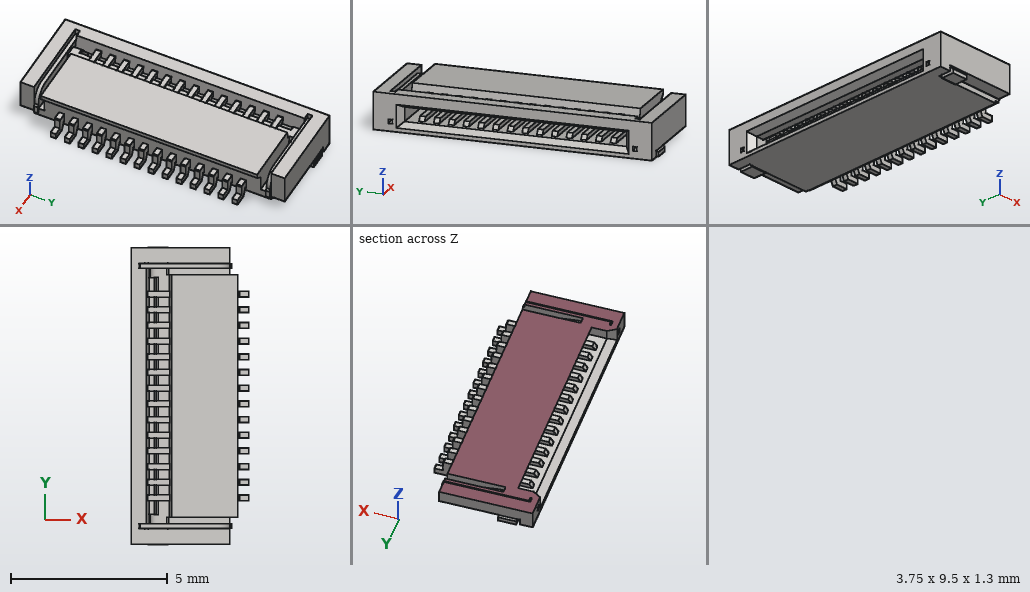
import cadquery as cq
import math


housing_length = 3.15
housing_half_width = 4.73
housing_bottom = 0.03
housing_top = 1.30
rear_notch_length = 0.15
rear_notch_top = 0.12

mouth_half_width = 3.95
mouth_bottom = 0.17
mouth_top = 0.955
flare_depth = 0.28
cavity_half_width = 3.77
cavity_floor = 0.32
cavity_ceiling = 0.806
cavity_roof = 0.606
cavity_end = 2.30

bar_top_depth = 0.48
bar_foot_depth = 0.58
shelf_top = 1.00
shelf_front = 0.80
shelf_end_radius = 0.20
nose_front = 0.73
nose_tip = 0.675
nose_half_width = 3.785
nose_roof_start = 0.90
ledge_back = 0.865
ledge_height = 0.85

slot_front = 0.25
slot_outer = 4.24
slot_inner = 4.08
slot_bottom = 0.24
plate_front = 0.29
plate_rear = 3.21
plate_top = 1.15
plate_thickness = 0.14
plate_bend_start = 2.73
plate_bend_end = 0.56
plate_tail_top = 0.50
window_size = 0.14
window_bottom = 0.29

recess_front = 0.43
recess_top = 0.24
tab_front = 0.55
tab_length = 0.61
tab_edge_height = 0.15
tab_half_span = 4.75
tab_bevel_width = 0.10

flap_half_width = 3.873
flap_front_top = 1.29
flap_front_bottom = 1.22
flap_rear = 3.405
flap_bottom = 0.94
flap_rear_edge = 1.15
flap_heel = 3.16

gap_front = 1.136
gap_ledge = 0.80
gap_step = 1.20
gap_ramp_start = 1.39
gap_ramp_end = 2.08
gap_upper = 0.50
gap_lower = 0.40

contact_count = 14
contact_pitch = 0.50
contact_width = 0.19
upper_arm_front = 0.535
upper_arm_bottom = 0.85
upper_arm_top = 1.06
beam_front = 0.46
beam_ramp_end = 0.57
beam_bottom = 0.24
beam_top = 0.47
leg_top = 0.57
leg_front = 3.20
leg_back = 3.465
leg_corner = 0.03
foot_front = 3.31
foot_end = 3.75
foot_thickness = 0.20


def extrude_across(points, y_low, y_high):
    """Extrude an XZ outline from y_low to y_high."""
    return (
        cq.Workplane("XZ", origin=(0, y_high, 0)).polyline(points).close().extrude(y_high - y_low)
    )


def block(x_range, y_range, z_range):
    """Box between the given limits."""
    size = [high - low for low, high in (x_range, y_range, z_range)]
    corner = (x_range[0], y_range[0], z_range[0])
    return cq.Workplane("XY").box(*size, centered=False).translate(corner)


def both_sides(body):
    """The body together with its mirror image about y = 0."""
    return body.union(body.mirror("XZ"))


def make_shell():
    """Housing outline with the low notch along its rear edge."""
    notch_front = housing_length - rear_notch_length
    outline = [
        (0, housing_bottom),
        (notch_front, housing_bottom),
        (notch_front, rear_notch_top),
        (housing_length, rear_notch_top),
        (housing_length, housing_top),
        (0, housing_top),
    ]
    return extrude_across(outline, -housing_half_width, housing_half_width)


def make_mouth():
    """Flared mouth, tapering from the front face to the cavity section."""
    mouth_centre = (mouth_bottom + mouth_top) / 2
    cavity_centre = (cavity_floor + cavity_ceiling) / 2
    return (
        cq.Workplane("YZ")
        .center(0, mouth_centre)
        .rect(2 * mouth_half_width, mouth_top - mouth_bottom)
        .workplane(offset=flare_depth)
        .center(0, cavity_centre - mouth_centre)
        .rect(2 * cavity_half_width, cavity_ceiling - cavity_floor)
        .loft(ruled=True)
    )


def make_cavity():
    """Cable cavity, joined to the open top between the front bar and the shelf nose."""
    outline = [
        (flare_depth, cavity_floor),
        (cavity_end, cavity_floor),
        (cavity_end, cavity_roof),
        (nose_roof_start, cavity_roof),
        (nose_front, nose_tip),
        (nose_front, housing_top),
        (bar_top_depth, housing_top),
        (bar_foot_depth, cavity_ceiling),
        (flare_depth, cavity_ceiling),
    ]
    return extrude_across(outline, -cavity_half_width, cavity_half_width)


def make_nose_relief():
    """Sloped and stepped front of the shelf, slightly wider than the cavity."""
    outline = [
        (nose_front, nose_tip),
        (shelf_front, ledge_height),
        (ledge_back, ledge_height),
        (ledge_back, housing_top),
        (nose_front, housing_top),
    ]
    return extrude_across(outline, -nose_half_width, nose_half_width)


def make_top_opening():
    """Open top over the shelf, with a rounded shelf edge beyond the cavity ends."""
    round_front = shelf_front - shelf_end_radius
    round_bottom = shelf_top - shelf_end_radius
    arc_offset = shelf_end_radius * math.sqrt(0.5)
    bar_slope = (bar_foot_depth - bar_top_depth) / (housing_top - cavity_ceiling)
    groove_front = bar_top_depth + bar_slope * (housing_top - round_bottom)
    profile = (
        cq.Workplane("XZ", origin=(0, slot_inner, 0))
        .moveTo(bar_top_depth, housing_top)
        .lineTo(groove_front, round_bottom)
        .lineTo(round_front, round_bottom)
        .threePointArc(
            (shelf_front - arc_offset, round_bottom + arc_offset), (shelf_front, shelf_top)
        )
        .lineTo(housing_length, shelf_top)
        .lineTo(housing_length, housing_top)
        .close()
    )
    return profile.extrude(2 * slot_inner)


def make_side_gap():
    """Stepped and ramped trough beside the flap at +Y."""
    outline = [
        (gap_front, housing_top),
        (gap_front, gap_ledge),
        (gap_step, gap_ledge),
        (gap_step, gap_upper),
        (gap_ramp_start, gap_upper),
        (gap_ramp_end, gap_lower),
        (housing_length, gap_lower),
        (housing_length, housing_top),
    ]
    return extrude_across(outline, flap_half_width, slot_inner)


def make_window():
    """Small square window in the front face at +Y, with a concave floor rising to the rear."""
    arc_offset = window_size * math.sqrt(0.5)
    window_top = window_bottom + window_size
    arc_start = slot_front - window_size
    return (
        cq.Workplane("XZ", origin=(0, slot_inner + window_size, 0))
        .moveTo(0, window_bottom)
        .lineTo(arc_start, window_bottom)
        .threePointArc((arc_start + arc_offset, window_top - arc_offset), (slot_front, window_top))
        .lineTo(0, window_top)
        .close()
        .extrude(window_size)
    )


def make_side_cuts():
    """Plate slot, window and tab recess at +Y."""
    slot = block((slot_front, housing_length), (slot_inner, slot_outer), (slot_bottom, housing_top))
    recess = block(
        (recess_front, housing_length), (slot_outer, housing_half_width), (housing_bottom, recess_top)
    )
    return slot.union(recess).union(make_window())


def make_plate():
    """Upright hold-down plate at +Y, with its tail curving down at the rear."""
    quarter = math.sqrt(0.5)
    bend_mid = (
        plate_bend_start + (housing_length - plate_bend_start) * quarter,
        plate_bend_end + (plate_top - plate_bend_end) * quarter,
    )
    return (
        cq.Workplane("XZ", origin=(0, slot_inner + plate_thickness, 0))
        .moveTo(plate_front, slot_bottom)
        .lineTo(plate_rear, slot_bottom)
        .lineTo(plate_rear, plate_tail_top)
        .lineTo(housing_length, plate_bend_end)
        .threePointArc(bend_mid, (plate_bend_start, plate_top))
        .lineTo(plate_front, plate_top)
        .close()
        .extrude(plate_thickness)
    )


def make_tab():
    """Solder tab at +Y, bevelled along its outer top edge."""
    outline = [
        (slot_outer, 0),
        (tab_half_span, 0),
        (tab_half_span, tab_edge_height),
        (tab_half_span - tab_bevel_width, recess_top),
        (slot_outer, recess_top),
    ]
    return (
        cq.Workplane("YZ", origin=(tab_front, 0, 0)).polyline(outline).close().extrude(tab_length)
    )


def make_flap():
    """Actuator flap lying closed on the shelf."""
    outline = [
        (flap_front_bottom, flap_bottom),
        (flap_heel, flap_bottom),
        (flap_rear, flap_rear_edge),
        (flap_rear, housing_top),
        (flap_front_top, housing_top),
        (flap_front_bottom, shelf_top),
    ]
    return extrude_across(outline, -flap_half_width, flap_half_width)


def make_contact(y_centre):
    """Upper arm, lower beam and stepped solder leg of one contact."""
    y_low = y_centre - contact_width / 2
    y_high = y_centre + contact_width / 2
    upper_arm = block(
        (upper_arm_front, flap_front_top), (y_low, y_high), (upper_arm_bottom, upper_arm_top)
    )
    outline = [
        (beam_front, beam_bottom),
        (leg_front, beam_bottom),
        (foot_front, 0),
        (foot_end, 0),
        (foot_end, foot_thickness),
        (leg_back, foot_thickness),
        (leg_back, leg_top - leg_corner),
        (leg_back - leg_corner, leg_top),
        (cavity_end, leg_top),
        (cavity_end, beam_top),
        (beam_ramp_end, beam_top),
        (beam_front, cavity_floor),
    ]
    return upper_arm.union(extrude_across(outline, y_low, y_high))


housing = make_shell().cut(make_mouth()).cut(make_cavity())
housing = housing.cut(make_nose_relief()).cut(make_top_opening())
housing = housing.cut(both_sides(make_side_gap())).cut(both_sides(make_side_cuts()))

result = housing.union(both_sides(make_plate())).union(both_sides(make_tab())).union(make_flap())
for index in range(contact_count):
    contact_y = (index - (contact_count - 1) / 2) * contact_pitch
    result = result.union(make_contact(contact_y))